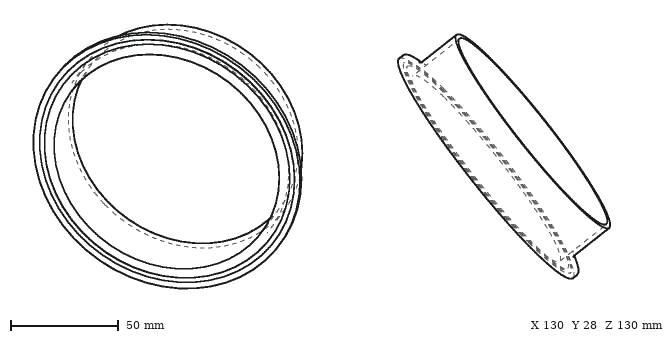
import cadquery as cq
import math

flange_radius = 130 / 2
tube_radius = 114.3 / 2
bore_radius = 109.7 / 2
length = 28.0

rim_thickness = 2.3
back_angle = math.radians(20)
rim_round = 0.8
neck_fillet = 2.1

groove_radius = 61.0
groove_half_width = 2.0
lip_round = 0.8
floor_half_width = groove_half_width - lip_round
groove_depth = 1.5

turn = math.pi / 2 - back_angle
back_start = rim_thickness + rim_round * math.tan(turn / 2)
back_end = back_start + (flange_radius - tube_radius) * math.tan(back_angle)


def sloped_back_body():
    """Solid of revolution with the rim and neck of the flange rounded."""
    rim_setback = rim_round * math.tan(turn / 2)
    neck_setback = neck_fillet * math.tan(turn / 2)
    slope_r = math.cos(back_angle)
    slope_y = math.sin(back_angle)
    half = turn / 2

    rim_center = flange_radius - rim_round
    rim_mid = (rim_center + rim_round * math.cos(half), rim_thickness + rim_round * math.sin(half))
    rim_end = (flange_radius - rim_setback * slope_r, back_start + rim_setback * slope_y)

    neck_center = tube_radius + neck_fillet
    neck_top = back_end + neck_setback
    neck_start = (tube_radius + neck_setback * slope_r, back_end - neck_setback * slope_y)
    neck_mid = (neck_center - neck_fillet * math.cos(half), neck_top - neck_fillet * math.sin(half))

    profile = (
        cq.Workplane("XY")
        .moveTo(bore_radius, 0)
        .lineTo(flange_radius, 0)
        .lineTo(flange_radius, rim_thickness)
        .threePointArc(rim_mid, rim_end)
        .lineTo(*neck_start)
        .threePointArc(neck_mid, (tube_radius, neck_top))
        .lineTo(tube_radius, length)
        .lineTo(bore_radius, length)
        .close()
    )
    return profile.revolve(360, (0, 0, 0), (0, 1, 0))


def gasket_groove():
    """Ring-shaped cutter whose lips are quarter rounds."""
    inner_edge = groove_radius - groove_half_width
    outer_edge = groove_radius + groove_half_width
    inner_wall = groove_radius - floor_half_width
    outer_wall = groove_radius + floor_half_width
    lip_bulge = lip_round * math.sin(math.pi / 4)
    lip_mid_depth = lip_round - lip_bulge

    profile = (
        cq.Workplane("XY")
        .moveTo(inner_edge, 0)
        .threePointArc((inner_edge + lip_bulge, lip_mid_depth), (inner_wall, lip_round))
        .threePointArc((groove_radius, groove_depth), (outer_wall, lip_round))
        .threePointArc((outer_edge - lip_bulge, lip_mid_depth), (outer_edge, 0))
        .close()
    )
    return profile.revolve(360, (0, 0, 0), (0, 1, 0))


result = sloped_back_body().cut(gasket_groove())